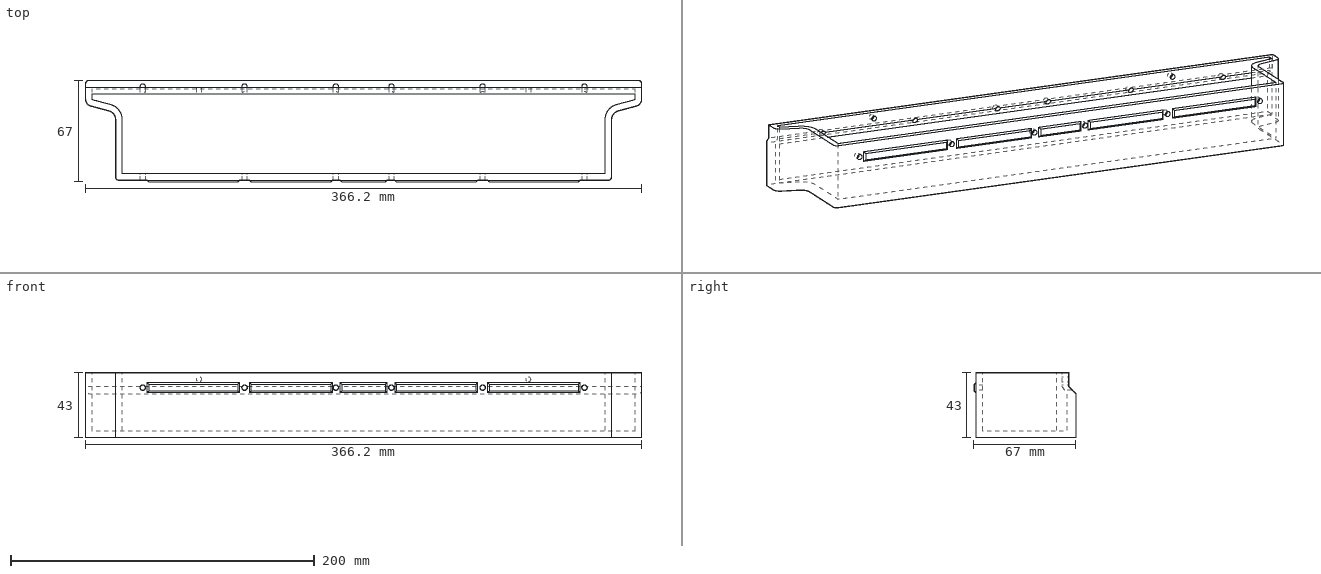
import cadquery as cq
import math

length = 366.2
height = 43.0
body_depth = 66.0
wall = 4.5
floor_thickness = 4.5

front_width = 326.5
ear_side_end = 12.5
ear_slope = math.radians(15)
ear_radius = 4.8
neck_radius = 6.0
corner_radius = 2.38

setback = 4.8
shoulder_rise = 4.8
shoulder_top = 33.7
inner_shoulder_top = 33.7
lower_rear_wall = 6.0

mount_diameter = 3.3
mount_offset = 108.5
mount_height = 38.5

hole_diameter = 3.4
row_height = 33.0
hole_offsets = (18.3, 78.5, 145.5)
middle_bar_end = 15.5
side_bars = ((20.5, 75.0), (81.5, 142.5))
bar_height = 6.5
bar_proud = 1.0

rear_y = body_depth
half_length = length / 2
half_front = front_width / 2


def plan_outline(inset, back_y):
    """Closed plan outline with sharp convex corners, moved inward by `inset` and ending at `back_y`."""
    sin_s = math.sin(ear_slope)
    cos_s = math.cos(ear_slope)
    side = half_length - inset
    box_side = half_front - inset
    neck = neck_radius + inset
    centre_x = half_front + neck_radius
    ear_centre_x = half_length - ear_radius
    ear_centre_y = rear_y - ear_side_end
    slope_start_x = ear_centre_x + ear_radius * sin_s
    slope_start_y = ear_centre_y - ear_radius * cos_s
    neck_start_x = centre_x - neck_radius * sin_s
    neck_start_y = slope_start_y - (slope_start_x - neck_start_x) * math.tan(ear_slope)
    centre_y = neck_start_y - neck_radius * cos_s
    arc_start = (centre_x - neck * sin_s, centre_y + neck * cos_s)
    middle = (math.pi / 2 - ear_slope) / 2
    arc_middle = (centre_x - neck * math.cos(middle), centre_y + neck * math.sin(middle))
    arc_end = (box_side, centre_y)
    ear_tip = (side, arc_start[1] + (side - arc_start[0]) * math.tan(ear_slope))

    def mirrored(point):
        return (-point[0], point[1])

    return (
        cq.Workplane("XY")
        .moveTo(-side, back_y)
        .lineTo(side, back_y)
        .lineTo(*ear_tip)
        .lineTo(*arc_start)
        .threePointArc(arc_middle, arc_end)
        .lineTo(box_side, inset)
        .lineTo(-box_side, inset)
        .lineTo(*mirrored(arc_end))
        .threePointArc(mirrored(arc_middle), mirrored(arc_start))
        .lineTo(*mirrored(ear_tip))
        .close()
    )


def shoulder_cutter(upper_y, lower_y, slope_top):
    """Space behind the upper rear wall and above the slope that leads back to the lower wall."""
    return (
        cq.Workplane("YZ")
        .moveTo(upper_y, height)
        .lineTo(upper_y, slope_top)
        .lineTo(lower_y, slope_top - shoulder_rise)
        .lineTo(lower_y, height)
        .close()
        .extrude(half_length, both=True)
    )


def trough():
    inner_rear_y = rear_y - lower_rear_wall
    upper_y = rear_y - setback
    body = plan_outline(0, rear_y).extrude(height)
    body = body.edges("|Z").edges("<X or >X").edges("<Y").fillet(ear_radius)
    body = body.edges("|Z").edges("<Y or >Y").fillet(corner_radius)
    cavity = plan_outline(wall, inner_rear_y).extrude(height - floor_thickness)
    cavity = cavity.translate((0, 0, floor_thickness))
    cavity = cavity.cut(shoulder_cutter(upper_y - wall, inner_rear_y, inner_shoulder_top))
    return body.cut(shoulder_cutter(upper_y, rear_y, shoulder_top)).cut(cavity)


def label_bar(start, end):
    """Raised bar on the front face with all four sides sloping at 45 degrees."""
    return (
        cq.Workplane("XZ")
        .center((start + end) / 2, row_height)
        .rect(end - start, bar_height)
        .extrude(bar_proud, taper=45)
    )


def drilled_holes():
    points = [(side * offset, row_height) for offset in hole_offsets for side in (-1, 1)]
    return cq.Workplane("XZ").pushPoints(points).circle(hole_diameter / 2).extrude(-body_depth)


def mounting_holes():
    points = [(-mount_offset, mount_height), (mount_offset, mount_height)]
    return (
        cq.Workplane("XZ", origin=(0, rear_y, 0))
        .pushPoints(points)
        .circle(mount_diameter / 2)
        .extrude(setback + 2 * wall)
    )


result = trough().union(label_bar(-middle_bar_end, middle_bar_end))
for bar_start, bar_end in side_bars:
    result = result.union(label_bar(bar_start, bar_end))
    result = result.union(label_bar(-bar_end, -bar_start))
result = result.cut(drilled_holes()).cut(mounting_holes())